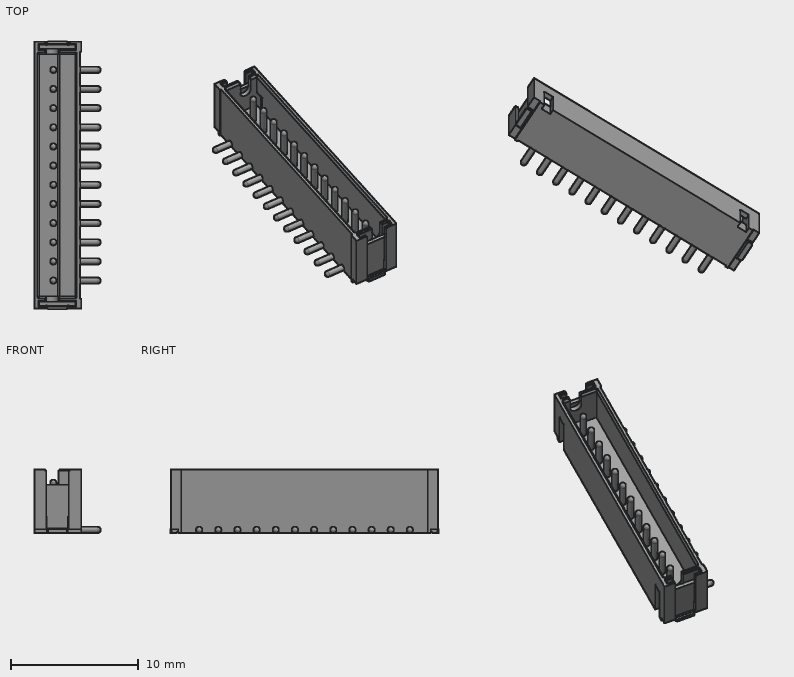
import cadquery as cq
import math


length = 21.0
height = 5.0
overall_width = 5.2

shell_width = 3.6
shell_half = 10.45
wall = 0.4
end_block_width = 3.7
end_block_inner = 9.65

cavity_half = 9.5
cavity_right = shell_width - wall
upper_floor = 1.78
floor_step_left = 1.85
floor_step_run = 0.15
floor_step_drop = 2 * floor_step_run
rim_run = 0.15
rim_rise = 0.2

edge_chamfer = 0.1
pocket_inner = 9.9
pocket_outer = 10.2
pocket_floor = 3.8

gap_left = 0.95
gap_right = 2.69
keyway_right = 1.9
mouth_chamfer = 0.13
keyway_radius = (keyway_right - gap_left) / 2
keyway_arc_z = pocket_floor

relief_height = 0.3
slit = 0.05
slit_top = 1.3
foot_left = gap_left + slit
foot_right = gap_right - slit
foot_heel_run = 0.17
foot_heel_rise = 0.19

slot_width = 0.8
slot_top = 3.2

pin_count = 12
pin_span = 16.5
pin_pitch = pin_span / (pin_count - 1)
pin_diameter = 0.5
pin_radius = pin_diameter / 2
pin_x = 1.5
pin_top = 4.2


def block(x_range, y_range, z_range):
    """Box between the given limits."""
    sizes = [b - a for a, b in (x_range, y_range, z_range)]
    corner = (x_range[0], y_range[0], z_range[0])
    return cq.Workplane("XY").box(*sizes, centered=False).translate(corner)


def flared_pocket(x_range, y_range, floor, run, rise):
    """Rectangular pocket, open at the top, whose rim flares outward."""
    flare_angle = math.degrees(math.atan2(run, rise))
    rim_start = height - rise
    straight = block(x_range, y_range, (floor, height))
    flare = (
        cq.Workplane("XY", origin=(sum(x_range) / 2, sum(y_range) / 2, rim_start))
        .rect(x_range[1] - x_range[0], y_range[1] - y_range[0])
        .extrude(rise, taper=-flare_angle)
    )
    return straight.union(flare)


def flared_opening(left, right, y_range, floor):
    """Opening along Y, from the floor to the top edge, with chamfered mouth corners."""
    chamfer_start = height - mouth_chamfer
    return (
        cq.Workplane("XZ", origin=(0, y_range[1], 0))
        .moveTo(left, floor)
        .lineTo(right, floor)
        .lineTo(right, chamfer_start)
        .lineTo(right + mouth_chamfer, height)
        .lineTo(left - mouth_chamfer, height)
        .lineTo(left, chamfer_start)
        .close()
        .extrude(y_range[1] - y_range[0])
    )


def on_both_ends(shape):
    """The shape at +Y together with its mirror image at -Y."""
    return shape.union(shape.mirror("XZ"))


def make_shell():
    shell = block((0, shell_width), (-shell_half, shell_half), (0, height))
    end_block = block((0, end_block_width), (end_block_inner, shell_half), (0, height))
    return shell.union(on_both_ends(end_block))


def make_cavity():
    upper = flared_pocket(
        (wall, cavity_right), (-cavity_half, cavity_half), upper_floor, rim_run, rim_rise
    )
    lower_floor = upper_floor - floor_step_drop
    lower = (
        cq.Workplane("XZ", origin=(0, cavity_half, 0))
        .moveTo(floor_step_left, upper_floor)
        .lineTo(floor_step_left + floor_step_run, lower_floor)
        .lineTo(cavity_right, lower_floor)
        .lineTo(cavity_right, upper_floor)
        .close()
        .extrude(2 * cavity_half)
    )
    return upper.union(lower)


def make_end_openings():
    """Everything removed at the +Y end: pocket, gap, keyway, foot relief, slits and wall slot."""
    pocket = flared_pocket(
        (wall, cavity_right), (pocket_inner, pocket_outer), pocket_floor, edge_chamfer, edge_chamfer
    )
    gap = flared_opening(gap_left, gap_right, (pocket_outer, shell_half), relief_height)
    inner_wall = (cavity_half, pocket_inner)
    keyway = flared_opening(gap_left, keyway_right, inner_wall, keyway_arc_z)
    keyway_bottom = (
        cq.Workplane("XZ", origin=(gap_left + keyway_radius, pocket_inner, keyway_arc_z))
        .circle(keyway_radius)
        .extrude(pocket_inner - cavity_half)
    )
    relief = block((0, end_block_width), (pocket_inner, shell_half), (0, relief_height))
    openings = pocket.union(gap).union(keyway).union(keyway_bottom).union(relief)
    for slit_left in (gap_left, foot_right):
        slit_range = (slit_left, slit_left + slit)
        openings = openings.union(block(slit_range, (pocket_inner, shell_half), (0, slit_top)))
    slot = block((0, wall), (cavity_half - slot_width, cavity_half), (0, slot_top))
    return openings.union(slot)


def make_foot():
    """Foot under the +Y tongue, with a sloped heel and chamfered front corners."""
    toe = length / 2
    return (
        cq.Workplane("YZ", origin=(foot_left, 0, 0))
        .moveTo(pocket_inner, foot_heel_rise)
        .lineTo(pocket_inner + foot_heel_run, 0)
        .lineTo(toe, 0)
        .lineTo(toe, relief_height)
        .lineTo(pocket_outer + edge_chamfer, relief_height)
        .lineTo(pocket_outer, relief_height + edge_chamfer)
        .lineTo(pocket_inner, relief_height + edge_chamfer)
        .close()
        .extrude(foot_right - foot_left)
        .edges("|Z and >Y")
        .chamfer(edge_chamfer)
    )


def make_pin(y):
    """Right-angle pin with a hemispherical tip on each leg."""
    dome_z = pin_top - pin_radius
    dome_x = overall_width - pin_radius
    bend = (pin_x, y, pin_radius)
    contact = cq.Workplane("XY", origin=bend).circle(pin_radius).extrude(dome_z - pin_radius)
    tail = cq.Workplane("YZ", origin=bend).circle(pin_radius).extrude(dome_x - pin_x)
    contact_dome = cq.Workplane("XY").sphere(pin_radius).translate((pin_x, y, dome_z))
    tail_dome = cq.Workplane("XY").sphere(pin_radius).translate((dome_x, y, pin_radius))
    return contact.union(tail).union(contact_dome).union(tail_dome)


result = make_shell().cut(make_cavity()).cut(on_both_ends(make_end_openings()))
result = result.union(on_both_ends(make_foot()))
for i in range(pin_count):
    result = result.union(make_pin(i * pin_pitch - pin_span / 2))